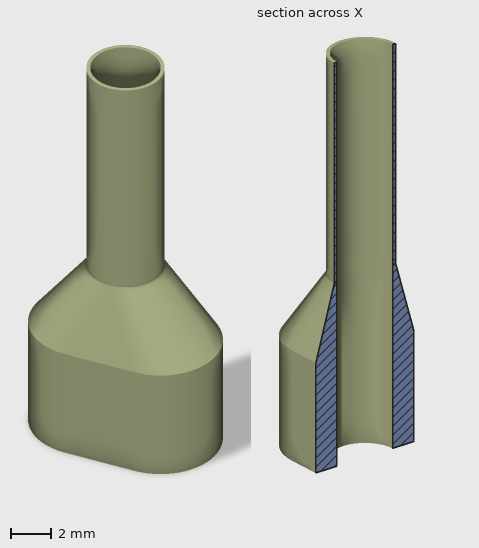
import cadquery as cq

total_height = 22.0

collar_length = 10.0
collar_width = 6.2
skirt_height = 6.0
taper_height = 4.0
collar_height = skirt_height + taper_height

sleeve_diameter = 3.9
bore_diameter = 3.5
sleeve_height = total_height - collar_height

end_radius = collar_width / 2
neck_radius = sleeve_diameter / 2
end_offset = (collar_length - collar_width) / 2


def make_skirt():
    return cq.Workplane("XY").slot2D(collar_length, collar_width).extrude(skirt_height)


def half_cone(side):
    """Oblique half cone from one round end of the skirt (side = +1 or -1) to half of the neck."""

    def half_disc_wire(center_x, radius, z):
        return (
            cq.Workplane("XY", origin=(center_x, 0, z))
            .moveTo(0, -radius)
            .threePointArc((side * radius, 0), (0, radius))
            .close()
            .val()
        )

    lower = half_disc_wire(side * end_offset, end_radius, skirt_height)
    upper = half_disc_wire(0, neck_radius, collar_height)
    return cq.Workplane(cq.Solid.makeLoft([lower, upper], True))


def middle_wedge():
    """Wedge between the half cones: a rectangle below, a line across the neck above."""
    lower = [
        cq.Vector(x, y, skirt_height)
        for x, y in (
            (-end_offset, -end_radius),
            (end_offset, -end_radius),
            (end_offset, end_radius),
            (-end_offset, end_radius),
        )
    ]
    front_left, front_right, back_right, back_left = lower
    ridge_front = cq.Vector(0, -neck_radius, collar_height)
    ridge_back = cq.Vector(0, neck_radius, collar_height)
    outlines = [
        lower,
        [front_left, front_right, ridge_front],
        [back_left, back_right, ridge_back],
        [front_left, back_left, ridge_back, ridge_front],
        [front_right, back_right, ridge_back, ridge_front],
    ]
    faces = [cq.Face.makeFromWires(cq.Wire.makePolygon(points, close=True)) for points in outlines]
    return cq.Workplane(cq.Solid.makeSolid(cq.Shell.makeShell(faces)))


def make_collar():
    bore = cq.Workplane("XY").circle(bore_diameter / 2).extrude(collar_height)
    body = make_skirt().union(middle_wedge())
    for side in (-1, 1):
        body = body.union(half_cone(side))
    return body.cut(bore)


def make_sleeve():
    return (
        cq.Workplane("XY", origin=(0, 0, collar_height))
        .circle(sleeve_diameter / 2)
        .circle(bore_diameter / 2)
        .extrude(sleeve_height)
    )


collar = make_collar()
sleeve = make_sleeve()

result = cq.Compound.makeCompound([collar.solids().val(), sleeve.val()])